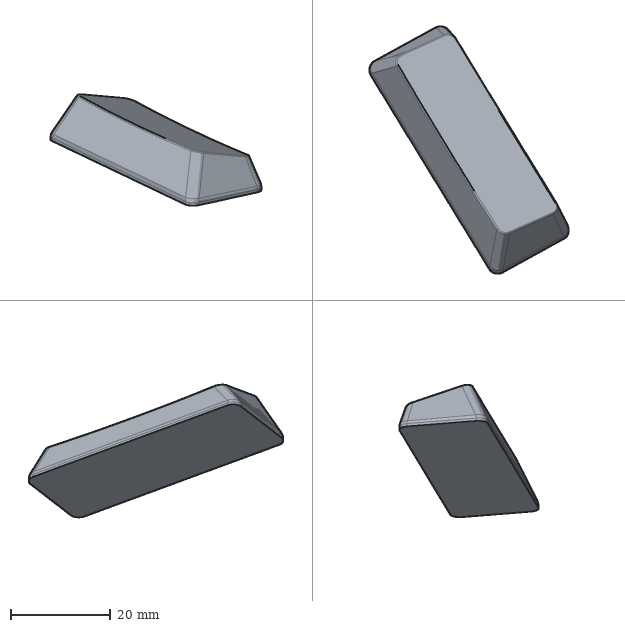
import cadquery as cq
import math

length = 51.5
width = 18.2
skirt_height = 1.05
height = 9.85

side_inset = 3.9
front_inset = 4.0
back_inset = 0.45
top_tilt = math.radians(15.2)
dish_depth = 0.45

base_corner_radius = 1.95
top_corner_radius = 1.9
bend_reach = 0.35
rim_radius = 0.3
rim_loss = 0.125

top_half_length = length / 2 - side_inset
top_front_y = -width / 2 + front_inset
top_back_y = width / 2 - back_inset
top_front_z = height + rim_loss
top_back_z = top_front_z - (top_back_y - top_front_y) * math.tan(top_tilt)

mean_wall_rise = (top_front_z + top_back_z) / 2 - skirt_height
bend_end = bend_reach / mean_wall_rise
wall_end = 1.1


def wall_section(position, drop=0.0):
    """Rounded rectangle across the leaning walls, tilting more and more toward the top, lowered by drop."""

    def between(base, top):
        return base + (top - base) * position

    half_length = between(length / 2, top_half_length)
    front_y = between(-width / 2, top_front_y)
    back_y = between(width / 2, top_back_y)
    front_z = between(skirt_height, top_front_z) - drop
    back_z = between(skirt_height, top_back_z) - drop
    radius = between(base_corner_radius, top_corner_radius)
    plane = cq.Plane(
        origin=(0, (front_y + back_y) / 2, (front_z + back_z) / 2),
        xDir=(1, 0, 0),
        normal=(0, front_z - back_z, back_y - front_y),
    )
    depth = math.hypot(back_y - front_y, back_z - front_z)
    outline = cq.Sketch().rect(2 * half_length, depth).vertices().fillet(radius)
    return outline.moved(plane.location).faces().val().outerWire()


def make_skirt():
    outline = cq.Sketch().rect(length, width).vertices().fillet(base_corner_radius)
    return cq.Workplane("XY").placeSketch(outline).extrude(skirt_height - bend_reach)


def make_bend():
    """Smooth band whose profile is a parabola tangent to the skirt and to the walls.

    Halfway along the parabola, the inset and the drop are both a quarter of their end values.
    """
    sections = [
        wall_section(0, bend_reach),
        wall_section(bend_end / 4, bend_reach / 4),
        wall_section(bend_end),
    ]
    return cq.Workplane(cq.Solid.makeLoft(sections))


def make_walls():
    sections = [wall_section(bend_end), wall_section(wall_end)]
    return cq.Workplane(cq.Solid.makeLoft(sections, True))


def make_dish():
    """Space above the top face; its cylindrical underside runs down the tilt."""
    half_length = length / 2
    end_rise = dish_depth * ((half_length / top_half_length) ** 2 - 1)
    slope_plane = cq.Plane(
        origin=(0, top_front_y, top_front_z),
        xDir=(1, 0, 0),
        normal=(0, -math.cos(top_tilt), math.sin(top_tilt)),
    )
    return (
        cq.Workplane(slope_plane)
        .moveTo(-half_length, end_rise)
        .threePointArc((0, -dish_depth), (half_length, end_rise))
        .lineTo(half_length, height)
        .lineTo(-half_length, height)
        .close()
        .extrude(2 * width, both=True)
    )


top = make_walls().cut(make_dish())
top = top.faces("%CYLINDER").edges().fillet(rim_radius)
result = make_skirt().union(make_bend()).union(top)